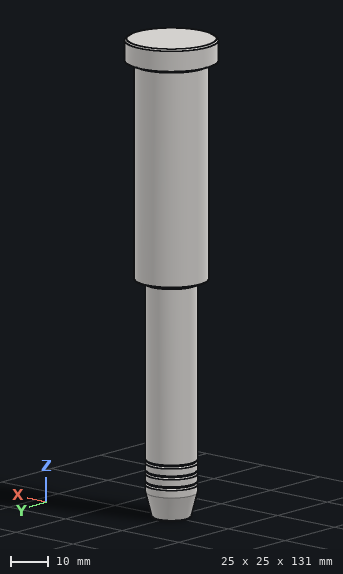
import cadquery as cq

total_length = 131.0
head_diameter = 25.0
head_height = 6.0
head_chamfer = 0.5
body_diameter = 20.0
body_length = 60.0
body_chamfer = 0.3
pin_diameter = 14.0
taper_length = 7.0
tip_diameter = 10.5
tip_chamfer = 0.3

groove_width = 1.0
groove_depth = 0.3
vee_depth = groove_width / 2
groove_count = 3
groove_land = 2.0

head_bottom = total_length - head_height
body_bottom = head_bottom - body_length


def cylinder(diameter, bottom, height):
    return cq.Workplane("XY").workplane(offset=bottom).circle(diameter / 2).extrude(height)


def groove_cutter(diameter, bottom):
    """Ring that cuts a groove into a shaft of the given diameter."""
    outer = cylinder(diameter + 2 * groove_depth, bottom, groove_width)
    core = cylinder(diameter - 2 * groove_depth, bottom, groove_width)
    return outer.cut(core)


def vee_cutter(diameter, bottom):
    """Ring of triangular section that cuts a V groove into a shaft of the given diameter."""
    radius = diameter / 2
    root = (radius - vee_depth, bottom + groove_width / 2)
    section = [(radius, bottom), root, (radius, bottom + groove_width)]
    return cq.Workplane("XZ").polyline(section).close().revolve(360, (0, 0), (0, 1))


tip = (
    cq.Workplane("XY")
    .circle(tip_diameter / 2)
    .workplane(offset=taper_length)
    .circle(pin_diameter / 2)
    .loft(ruled=True)
    .faces("<Z")
    .chamfer(tip_chamfer)
)

pin = cylinder(pin_diameter, taper_length, body_bottom - taper_length)
for index in range(groove_count):
    groove_bottom = taper_length + groove_land + index * (groove_width + groove_land)
    pin = pin.cut(vee_cutter(pin_diameter, groove_bottom))
pin = pin.cut(groove_cutter(pin_diameter, body_bottom - groove_width))

body = cylinder(body_diameter, body_bottom, body_length).faces("<Z").chamfer(body_chamfer)
body = body.cut(vee_cutter(body_diameter, head_bottom - groove_width))

head = cylinder(head_diameter, head_bottom, head_height).faces(">Z").chamfer(head_chamfer)

result = tip.union(pin).union(body).union(head)